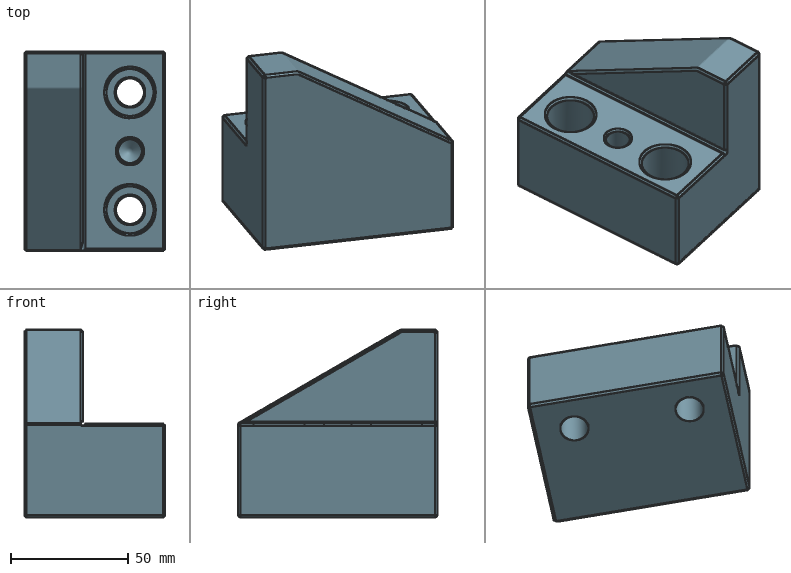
import cadquery as cq
import math

length_x = 60.0
depth_y = 85.0
height_z = 80.0

wall_width = 25.0
ledge_height = 40.0
slope_angle = 30.0
slope_run = (height_z - ledge_height) / math.tan(math.radians(slope_angle))

edge_chamfer = 1.0
relief_radius = 1.0

hole_line_x = 45.0
bolt_spacing = 50.0
bolt_hole_diameter = 12.0
bolt_hole_mouth_diameter = 13.0
counterbore_diameter = 20.0
counterbore_depth = 20.0
counterbore_chamfer = 1.0
blind_hole_diameter = 10.2
blind_hole_mouth_diameter = 12.0
blind_hole_depth = 25.0
drill_point_angle = 118.0


def obtuse_chamfer(turn_angle):
    """Chamfer leg on an edge where the surface turns by less than 90 degrees."""
    return edge_chamfer * math.tan(math.radians(turn_angle / 2))


def make_wall():
    """Upright wall with a sloping top; its inner side is chamfered only above the ledge."""
    profile = [
        (0, 0),
        (depth_y, 0),
        (depth_y, height_z),
        (slope_run, height_z),
        (0, ledge_height),
    ]
    wall = cq.Workplane("YZ").polyline(profile).close().extrude(wall_width)
    slope_top = cq.selectors.NearestToPointSelector((wall_width / 2, slope_run, height_z))
    slope_foot = cq.selectors.NearestToPointSelector((wall_width / 2, 0, ledge_height))
    wall = wall.edges(slope_top).chamfer(obtuse_chamfer(slope_angle))
    wall = wall.edges(slope_foot).chamfer(obtuse_chamfer(90 - slope_angle))
    wall = wall.faces(">Y").edges("|X").chamfer(edge_chamfer)
    wall = wall.faces("<Z").edges("<Y").chamfer(edge_chamfer)
    outer_chamfered = wall.faces("<X").edges().chamfer(edge_chamfer)
    fully_chamfered = outer_chamfered.faces(">X").edges().chamfer(edge_chamfer)
    below_ledge = cq.Workplane("XY").box(wall_width, depth_y, ledge_height, centered=False)
    return fully_chamfered.union(outer_chamfered.intersect(below_ledge))


def make_ledge():
    """Lower block beside the wall, chamfered on its free edges."""
    ledge = cq.Workplane("XY").box(length_x - wall_width, depth_y, ledge_height, centered=False)
    ledge = ledge.edges("|X or >X").chamfer(edge_chamfer)
    return ledge.translate((wall_width, 0, 0))


def make_relief_groove():
    """Round groove along the inner corner between wall and ledge."""
    groove = cq.Workplane("XZ").center(wall_width, ledge_height).circle(relief_radius)
    return groove.extrude(-depth_y)


def revolved_cutter(profile, y):
    """Turn a (radius, z) profile about a vertical axis on the hole line."""
    cutter = cq.Workplane("XZ").polyline(profile).close().revolve(360, (0, 0, 0), (0, 1, 0))
    return cutter.translate((hole_line_x, y, 0))


def make_bolt_hole(y):
    """Through hole with a counterbore, both chamfered at the mouth."""
    bolt_radius = bolt_hole_diameter / 2
    mouth_radius = bolt_hole_mouth_diameter / 2
    bore_radius = counterbore_diameter / 2
    floor_z = ledge_height - counterbore_depth
    profile = [
        (0, 0),
        (bolt_radius, 0),
        (bolt_radius, floor_z - (mouth_radius - bolt_radius)),
        (mouth_radius, floor_z),
        (bore_radius, floor_z),
        (bore_radius, ledge_height - counterbore_chamfer),
        (bore_radius + counterbore_chamfer, ledge_height),
        (0, ledge_height),
    ]
    return revolved_cutter(profile, y)


def make_blind_hole(y):
    """Blind hole with a 45 degree mouth chamfer and a conical drill point."""
    radius = blind_hole_diameter / 2
    mouth_radius = blind_hole_mouth_diameter / 2
    point_height = radius / math.tan(math.radians(drill_point_angle / 2))
    bottom_z = ledge_height - blind_hole_depth
    profile = [
        (0, bottom_z - point_height),
        (radius, bottom_z),
        (radius, ledge_height - (mouth_radius - radius)),
        (mouth_radius, ledge_height),
        (0, ledge_height),
    ]
    return revolved_cutter(profile, y)


middle_y = depth_y / 2
result = make_wall().union(make_ledge()).cut(make_relief_groove()).clean()
for side in (-1, 1):
    result = result.cut(make_bolt_hole(middle_y + side * bolt_spacing / 2))
result = result.cut(make_blind_hole(middle_y))